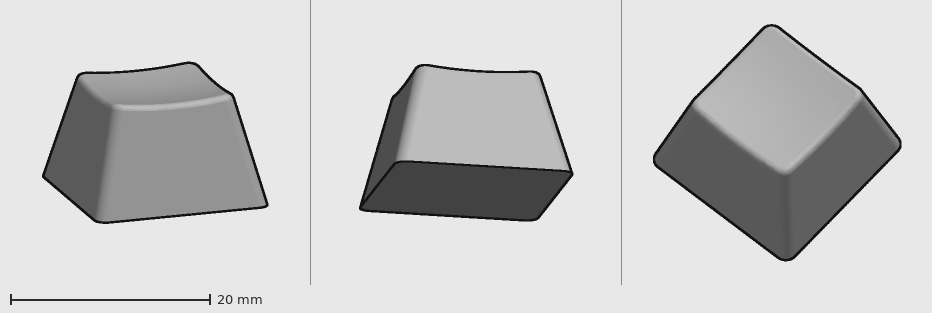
import cadquery as cq

BASE_WIDTH = 18.3
SIDE_LEAN = 14.0
BLANK_HEIGHT = 14.0
CORNER_RADIUS = 1.25
DISH_RADIUS = 41.0
DISH_BOTTOM_HEIGHT = 10.41
RIM_RADIUS = 0.65


def tapered_blank():
    """Square frustum with its four sloping corners rounded."""
    frustum = cq.Workplane("XY").rect(BASE_WIDTH, BASE_WIDTH).extrude(BLANK_HEIGHT, taper=SIDE_LEAN)
    sloping_corners = frustum.edges("not(#Z)")
    return sloping_corners.fillet(CORNER_RADIUS)


def cut_dish(body):
    """Remove the top of the body with a sphere that touches the lowest dish point."""
    sphere_center = (0, 0, DISH_BOTTOM_HEIGHT + DISH_RADIUS)
    sphere = cq.Workplane("XY").sphere(DISH_RADIUS).translate(sphere_center)
    return body.cut(sphere)


def round_rim(body):
    """Round the closed loop of edges around the dish."""
    rim_edges = body.faces("%SPHERE").edges()
    return rim_edges.fillet(RIM_RADIUS)


keycap = tapered_blank()
keycap = cut_dish(keycap)
result = round_rim(keycap)